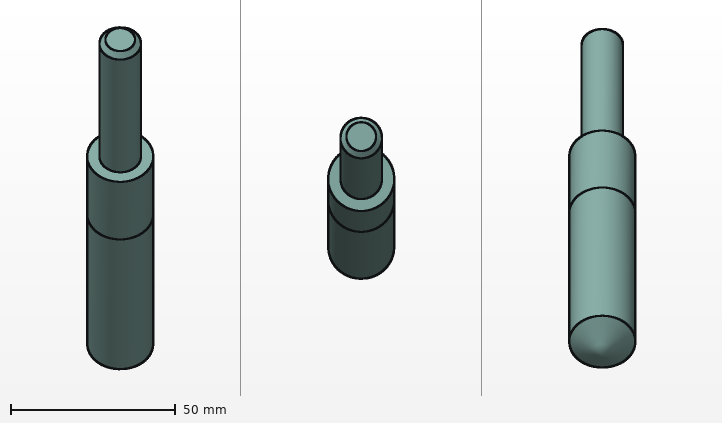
import cadquery as cq

total_length = 152.4
body_diameter = 20.1
shank_diameter = 12.6
shank_chamfer = 1.8

cone_height = 6.1
joint_height = 68.6
shoulder_height = 96.3

body_radius = body_diameter / 2
shank_radius = shank_diameter / 2


def make_cutter():
    """Lower cylinder that ends in a conical point."""
    half_profile = (
        cq.Workplane("XZ")
        .polyline([
            (0, 0),
            (body_radius, cone_height),
            (body_radius, joint_height),
            (0, joint_height),
        ])
        .close()
    )
    return half_profile.revolve(360, (0, 0), (0, 1))


def make_holder():
    """Upper cylinder with a slimmer shank, chamfered at its free end."""
    collar = (
        cq.Workplane("XY", origin=(0, 0, joint_height))
        .circle(body_radius)
        .extrude(shoulder_height - joint_height)
    )
    shank = (
        cq.Workplane("XY", origin=(0, 0, shoulder_height))
        .circle(shank_radius)
        .extrude(total_length - shoulder_height)
        .faces(">Z")
        .chamfer(shank_chamfer)
    )
    return collar.union(shank)


cutter = make_cutter()
holder = make_holder()

result = cq.Compound.makeCompound([cutter.val(), holder.val()])